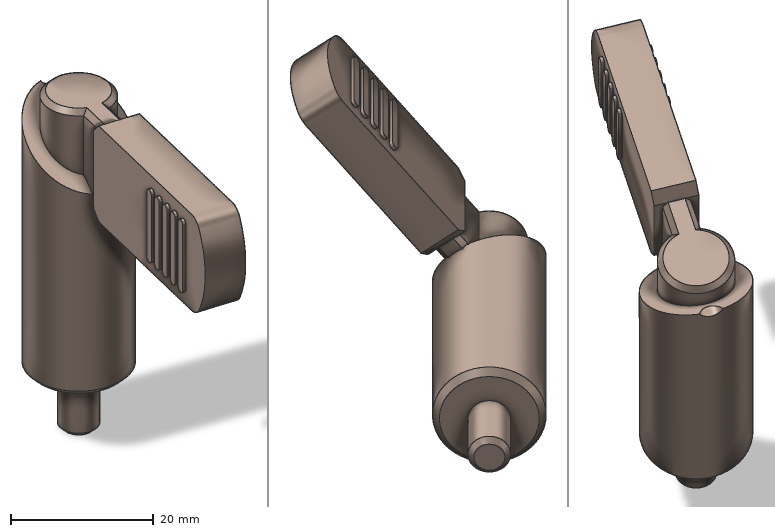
import cadquery as cq
import math


SLEEVE_RADIUS = 8.0
SLEEVE_CHAMFER = 1.0
CAM_HIGH_Z = 43.95
CAM_LOW_Z = 33.45
DETENT_RADIUS = 2.0
DETENT_FLOOR_Z = 42.85

PIN_RADIUS = 3.0
PIN_PROJECTION = 10.0
PIN_CHAMFER = 0.8
HUB_RADIUS = 5.45
ARM_HEIGHT = 13.0
ARM_THICKNESS = 4.1
ARM_CHAMFER = 0.8

TOTAL_HEIGHT = 57.5
GRIP_HEIGHT = 16.0
GRIP_THICKNESS = 6.55
GRIP_START_X = 10.0
GRIP_END_X = 42.05
GRIP_CHAMFER = 1.55
CORNER_RADIUS = 2.5
END_RADIUS = 14.0

RIDGE_COUNT = 5
RIDGE_PITCH = 2.25
RIDGE_FIRST_X = 26.9
RIDGE_WIDTH = 1.25
RIDGE_LENGTH = 12.1
RIDGE_PROJECTION = 0.5

GRIP_TOP_Z = TOTAL_HEIGHT - PIN_PROJECTION
GRIP_MID_Z = GRIP_TOP_Z - GRIP_HEIGHT / 2
ARM_TOP_Z = GRIP_MID_Z + ARM_HEIGHT / 2
ARM_BOTTOM_Z = GRIP_MID_Z - ARM_HEIGHT / 2


def cylinder(radius, bottom_z, top_z):
    """Upright cylinder on the sleeve axis."""
    return cq.Workplane("XY").workplane(offset=bottom_z).circle(radius).extrude(top_z - bottom_z)


def make_arm():
    """Flat arm from the sleeve axis to the grip, with its four long edges chamfered."""
    return (
        cq.Workplane("XY")
        .box(GRIP_START_X, ARM_THICKNESS, ARM_HEIGHT, centered=(False, True, True))
        .edges("|X")
        .chamfer(ARM_CHAMFER)
        .translate((0, 0, GRIP_MID_Z))
    )


def make_plunger():
    """Chamfered hub with the arm beside it and the pin below it."""
    hub = cylinder(HUB_RADIUS, ARM_BOTTOM_Z, ARM_TOP_Z).faces(">Z").chamfer(ARM_CHAMFER)
    pin = cylinder(PIN_RADIUS, -PIN_PROJECTION, ARM_BOTTOM_Z).faces("<Z").chamfer(PIN_CHAMFER)
    return hub.union(make_arm()).union(pin)


def make_sleeve():
    """Sleeve with a slanted cam top, a detent on its high side, and seats for the plunger."""
    slanted_block = (
        cq.Workplane("XZ")
        .moveTo(-SLEEVE_RADIUS, 0)
        .lineTo(SLEEVE_RADIUS, 0)
        .lineTo(SLEEVE_RADIUS, CAM_LOW_Z)
        .lineTo(-SLEEVE_RADIUS, CAM_HIGH_Z)
        .close()
        .extrude(SLEEVE_RADIUS, both=True)
    )
    blank = cylinder(SLEEVE_RADIUS, 0, CAM_HIGH_Z).faces("<Z").chamfer(SLEEVE_CHAMFER)
    detent = (
        cq.Workplane("YZ")
        .workplane(offset=-SLEEVE_RADIUS)
        .center(0, DETENT_FLOOR_Z + DETENT_RADIUS)
        .circle(DETENT_RADIUS)
        .extrude(SLEEVE_RADIUS)
    )
    pin_bore = cylinder(PIN_RADIUS, 0, ARM_BOTTOM_Z)
    hub_bore = cylinder(HUB_RADIUS, ARM_BOTTOM_Z, CAM_HIGH_Z)
    sleeve = blank.intersect(slanted_block).cut(detent)
    return sleeve.cut(pin_bore).cut(hub_bore).cut(make_arm())


def make_grip_plate():
    """Flat plate with a chamfered inner end and a bowed outer end with rounded corners."""
    half_height = GRIP_HEIGHT / 2
    bow_centre_x = GRIP_END_X - END_RADIUS

    corner_centre_z = half_height - CORNER_RADIUS
    centre_distance = END_RADIUS - CORNER_RADIUS
    bow_angle = math.asin(corner_centre_z / centre_distance)
    corner_centre_x = bow_centre_x + centre_distance * math.cos(bow_angle)
    bow_x = bow_centre_x + END_RADIUS * math.cos(bow_angle)
    bow_z = END_RADIUS * math.sin(bow_angle)
    middle_angle = (bow_angle + math.pi / 2) / 2
    corner_x = corner_centre_x + CORNER_RADIUS * math.cos(middle_angle)
    corner_z = corner_centre_z + CORNER_RADIUS * math.sin(middle_angle)

    return (
        cq.Workplane("XZ", origin=(0, 0, GRIP_MID_Z))
        .moveTo(GRIP_START_X, GRIP_CHAMFER - half_height)
        .lineTo(GRIP_START_X + GRIP_CHAMFER, -half_height)
        .lineTo(corner_centre_x, -half_height)
        .threePointArc((corner_x, -corner_z), (bow_x, -bow_z))
        .threePointArc((GRIP_END_X, 0), (bow_x, bow_z))
        .threePointArc((corner_x, corner_z), (corner_centre_x, half_height))
        .lineTo(GRIP_START_X + GRIP_CHAMFER, half_height)
        .lineTo(GRIP_START_X, half_height - GRIP_CHAMFER)
        .close()
        .extrude(GRIP_THICKNESS / 2, both=True)
    )


def make_grip():
    """Grip plate with round-ended ridges that stand out on both broad faces."""
    grip = make_grip_plate()
    ridge_reach = GRIP_THICKNESS / 2 + RIDGE_PROJECTION
    for index in range(RIDGE_COUNT):
        ridge_x = RIDGE_FIRST_X + index * RIDGE_PITCH
        ridge = (
            cq.Workplane("XZ", origin=(ridge_x, 0, GRIP_MID_Z))
            .slot2D(RIDGE_LENGTH, RIDGE_WIDTH, 90)
            .extrude(ridge_reach, both=True)
        )
        grip = grip.union(ridge)
    return grip


sleeve = make_sleeve()
plunger = make_plunger()
grip = make_grip()

result = cq.Compound.makeCompound([*sleeve.solids().vals(), *plunger.solids().vals(), *grip.solids().vals()])